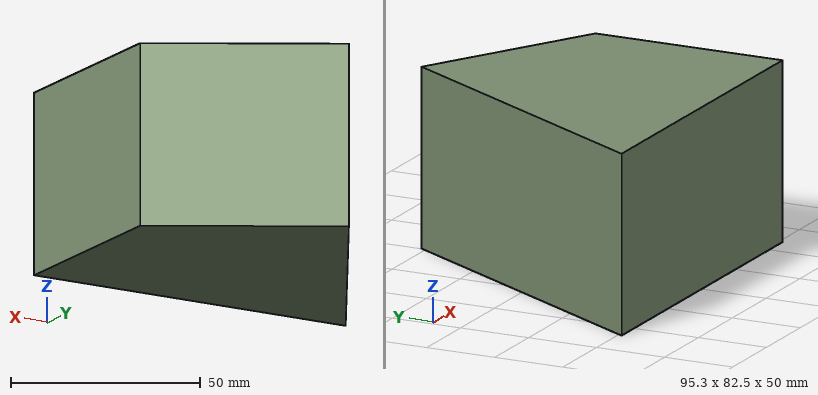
import cadquery as cq
import math

long_side = 95.3
height = 50.0
corner_angle = math.radians(60)

short_side = long_side * math.tan(corner_angle / 2)
far_corner_x = long_side * math.cos(corner_angle)
far_corner_y = long_side * math.sin(corner_angle)

result = (
    cq.Workplane("XY")
    .moveTo(0, 0)
    .lineTo(long_side, 0)
    .lineTo(long_side, short_side)
    .lineTo(far_corner_x, far_corner_y)
    .close()
    .extrude(height)
)